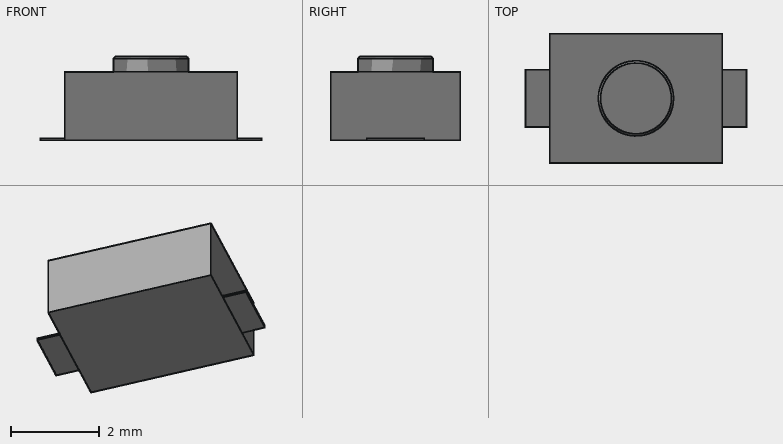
import cadquery as cq

OVERALL_LENGTH = 5.0
OVERALL_HEIGHT = 1.9

HOUSING_LENGTH = 3.9
HOUSING_WIDTH = 2.93
HOUSING_HEIGHT = 1.55

BUTTON_DIAMETER = 1.7
BUTTON_CHAMFER = 0.05
BUTTON_HEIGHT = OVERALL_HEIGHT - HOUSING_HEIGHT

TERMINAL_WIDTH = 1.3
TERMINAL_THICKNESS = 0.05
TERMINAL_LENGTH = (OVERALL_LENGTH - HOUSING_LENGTH) / 2


def make_housing():
    """Plain rectangular housing standing on the XY plane."""
    return cq.Workplane("XY").box(
        HOUSING_LENGTH, HOUSING_WIDTH, HOUSING_HEIGHT, centered=(True, True, False)
    )


def make_button():
    """Round button on top of the housing, with a chamfered upper rim."""
    return (
        cq.Workplane("XY", origin=(0, 0, HOUSING_HEIGHT))
        .circle(BUTTON_DIAMETER / 2)
        .extrude(BUTTON_HEIGHT)
        .faces(">Z")
        .edges()
        .chamfer(BUTTON_CHAMFER)
    )


def make_terminal(side):
    """Flat terminal against one end of the housing; side is -1 or +1 along X."""
    center_x = side * (HOUSING_LENGTH + TERMINAL_LENGTH) / 2
    return cq.Workplane("XY", origin=(center_x, 0, 0)).box(
        TERMINAL_LENGTH, TERMINAL_WIDTH, TERMINAL_THICKNESS, centered=(True, True, False)
    )


housing = make_housing()
button = make_button()
terminals = [make_terminal(side) for side in (-1, 1)]

result = cq.Compound.makeCompound(
    [housing.val(), button.val(), *(terminal.val() for terminal in terminals)]
)